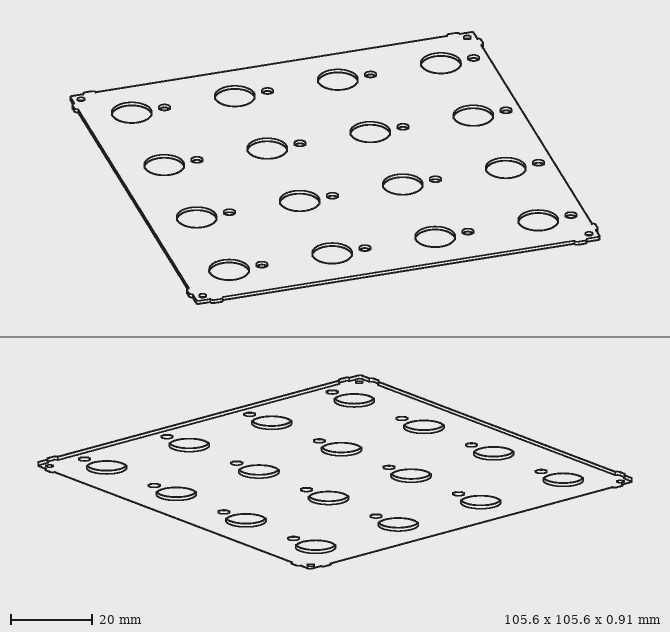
import cadquery as cq

PLATE_SIDE = 104.1
THICKNESS = 0.91
CORNER_RADIUS = 0.5

OVERALL_SIDE = 105.6
TAB_OFFSET = 47.0
TAB_WIDTH = 3.2
TAB_HEIGHT = (OVERALL_SIDE - PLATE_SIDE) / 2

GRID_COUNT = 4
GRID_PITCH = 26.6
LARGE_HOLE_DIAMETER = 9.9
SMALL_HOLE_DIAMETER = 2.9
SMALL_HOLE_OFFSET = 8.5

CORNER_HOLE_DIAMETER = 1.8
CORNER_HOLE_SPACING = 99.8


def edge_tab(offset):
    """Tab on the +Y edge, centred at X = offset, with quarter-round shoulders."""
    edge = PLATE_SIDE / 2
    top = edge + TAB_HEIGHT
    root = edge - TAB_HEIGHT
    left = offset - TAB_WIDTH / 2
    right = offset + TAB_WIDTH / 2
    return (
        cq.Workplane("XY")
        .moveTo(left, root)
        .lineTo(left, edge)
        .radiusArc((left + TAB_HEIGHT, top), TAB_HEIGHT)
        .lineTo(right - TAB_HEIGHT, top)
        .radiusArc((right, edge), TAB_HEIGHT)
        .lineTo(right, root)
        .close()
        .extrude(THICKNESS)
    )


def tabbed_plate():
    """Square plate with a pair of tabs on each of its four edges."""
    plate = (
        cq.Workplane("XY")
        .rect(PLATE_SIDE, PLATE_SIDE)
        .extrude(THICKNESS)
        .edges("|Z")
        .fillet(CORNER_RADIUS)
    )
    for angle in (0, 90, 180, 270):
        for offset in (-TAB_OFFSET, TAB_OFFSET):
            tab = edge_tab(offset).rotate((0, 0, 0), (0, 0, 1), angle)
            plate = plate.union(tab)
    return plate


def square_hole_array(diameter, pitch, count, y_shift=0):
    """Cutters for a count x count array of through holes, moved along Y by y_shift."""
    return (
        cq.Workplane("XY")
        .center(0, y_shift)
        .rarray(pitch, pitch, count, count)
        .circle(diameter / 2)
        .extrude(THICKNESS)
    )


large_holes = square_hole_array(LARGE_HOLE_DIAMETER, GRID_PITCH, GRID_COUNT)
small_holes = square_hole_array(SMALL_HOLE_DIAMETER, GRID_PITCH, GRID_COUNT, SMALL_HOLE_OFFSET)
corner_holes = square_hole_array(CORNER_HOLE_DIAMETER, CORNER_HOLE_SPACING, 2)

result = tabbed_plate().cut(large_holes).cut(small_holes).cut(corner_holes)